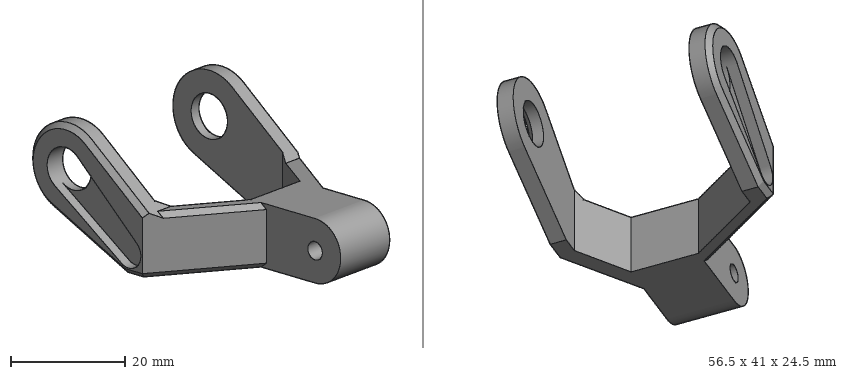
import cadquery as cq
import math

LENGTH = 56.5
WIDTH = 41.0
HEIGHT = 24.5

EYE_RADIUS = 8.55
EYE_X = EYE_RADIUS
EYE_Z = HEIGHT - EYE_RADIUS
EYE_HOLE_DIAMETER = 8.5
LUG_RADIUS = 6.0
LUG_X = LENGTH - LUG_RADIUS
LUG_Z = LUG_RADIUS
LUG_HOLE_DIAMETER = 3.4
LUG_TOP = 2 * LUG_RADIUS
UPPER_CORNER_X = 27.4
LOWER_CORNER_X = 22.3

NEAR_ARM_THICKNESS = 4.1
FAR_ARM_THICKNESS = 3.1
ARM_BEND_X = 26.55
INNER_BEND_X = 25.7
CROTCH_X = 35.5
LUG_NEAR_Y = 18.55
LUG_FAR_Y = 31.45
NEAR_ARM_ROOT_X = 39.1
FAR_ARM_ROOT_X = 40.85

CHAMFER = 1.0
COUNTERSINK_DIAMETER = 10.5
COUNTERSINK_DEPTH = (COUNTERSINK_DIAMETER - EYE_HOLE_DIAMETER) / 2
POCKET_DEPTH = NEAR_ARM_THICKNESS / 2
POCKET_END_X = 23.35
POCKET_END_Z = 4.2
POCKET_END_RADIUS = 2.9


def point_on_circle(center, radius, angle):
    return (center[0] + radius * math.cos(angle), center[1] + radius * math.sin(angle))


def tangent_point(corner, center, radius, side):
    """Touch point of the line from corner to a circle; side +1 or -1 picks which of the two."""
    dx = corner[0] - center[0]
    dz = corner[1] - center[1]
    angle = math.atan2(dz, dx) + side * math.acos(radius / math.hypot(dx, dz))
    return point_on_circle(center, radius, angle)


def side_plane(x=0, z=0):
    """XZ workplane on the near face; a negative extrusion runs toward +Y, into the part."""
    return cq.Workplane("XZ", origin=(x, 0, z))


def side_profile():
    eye = (EYE_X, EYE_Z)
    upper_corner = (UPPER_CORNER_X, LUG_TOP)
    lower_corner = (LOWER_CORNER_X, 0)
    return (
        side_plane()
        .moveTo(*lower_corner)
        .lineTo(LUG_X, 0)
        .threePointArc((LENGTH, LUG_Z), (LUG_X, LUG_TOP))
        .lineTo(*upper_corner)
        .lineTo(*tangent_point(upper_corner, eye, EYE_RADIUS, 1))
        .threePointArc((0, EYE_Z), tangent_point(lower_corner, eye, EYE_RADIUS, -1))
        .close()
        .extrude(-WIDTH)
    )


def near_arm_plate():
    return (
        cq.Workplane("XY")
        .polyline([
            (0, 0),
            (ARM_BEND_X, 0),
            (NEAR_ARM_ROOT_X, LUG_NEAR_Y),
            (CROTCH_X, LUG_NEAR_Y),
            (INNER_BEND_X, NEAR_ARM_THICKNESS),
            (0, NEAR_ARM_THICKNESS),
        ])
        .close()
        .extrude(HEIGHT)
    )


def far_arm_plate():
    return (
        cq.Workplane("XY")
        .polyline([
            (0, WIDTH),
            (ARM_BEND_X, WIDTH),
            (FAR_ARM_ROOT_X, LUG_FAR_Y),
            (CROTCH_X, LUG_FAR_Y),
            (INNER_BEND_X, WIDTH - FAR_ARM_THICKNESS),
            (0, WIDTH - FAR_ARM_THICKNESS),
        ])
        .close()
        .extrude(HEIGHT)
    )


def lug_block():
    return (
        cq.Workplane("XY")
        .moveTo(CROTCH_X, LUG_NEAR_Y)
        .lineTo(LENGTH, LUG_NEAR_Y)
        .lineTo(LENGTH, LUG_FAR_Y)
        .lineTo(CROTCH_X, LUG_FAR_Y)
        .close()
        .extrude(HEIGHT)
    )


def beveled_profile():
    """Side profile with its near rim beveled, which bounds the flat part of the near arm."""
    return side_profile().faces("<Y").edges().chamfer(CHAMFER)


def slope_edge_bevel(edge_z, inward):
    """Triangular cutter along an edge of the sloped outer face; inward is the Z direction into the arm."""
    run_x = NEAR_ARM_ROOT_X - ARM_BEND_X
    run_y = LUG_NEAR_Y
    plane = cq.Plane(
        origin=(ARM_BEND_X, 0, edge_z),
        xDir=(run_y, -run_x, 0),
        normal=(-run_x, -run_y, 0),
    )
    return (
        cq.Workplane(plane)
        .polyline([(-CHAMFER, 0), (0, 0), (0, inward * CHAMFER)])
        .close()
        .extrude(2 * CHAMFER + math.hypot(run_x, run_y), both=True)
    )


def below_rise():
    """Region under the arm's rising top edge, carried on below the lug's top level."""
    upper_corner = (UPPER_CORNER_X, LUG_TOP)
    touch = tangent_point(upper_corner, (EYE_X, EYE_Z), EYE_RADIUS, 1)
    rise_slope = (LUG_TOP - touch[1]) / (UPPER_CORNER_X - touch[0])
    base_x = UPPER_CORNER_X - LUG_TOP / rise_slope
    return side_plane().polyline([touch, (base_x, 0), (touch[0], 0)]).close().extrude(-WIDTH)


def near_arm():
    top_bevel = slope_edge_bevel(LUG_TOP, -1).cut(below_rise())
    bottom_bevel = slope_edge_bevel(0, 1)
    return near_arm_plate().intersect(beveled_profile()).cut(top_bevel).cut(bottom_bevel)


def eye_holes():
    return side_plane(EYE_X, EYE_Z).circle(EYE_HOLE_DIAMETER / 2).extrude(-WIDTH)


def eye_countersink():
    return cq.Workplane(cq.Solid.makeCone(
        EYE_HOLE_DIAMETER / 2,
        COUNTERSINK_DIAMETER / 2,
        COUNTERSINK_DEPTH,
        pnt=cq.Vector(EYE_X, WIDTH - COUNTERSINK_DEPTH, EYE_Z),
        dir=cq.Vector(0, 1, 0),
    ))


def lug_hole():
    return side_plane(LUG_X, LUG_Z).circle(LUG_HOLE_DIAMETER / 2).extrude(-WIDTH)


def teardrop_pocket():
    """Pocket opening out of the eye hole, along common tangents to a small end circle."""
    eye = (EYE_X, EYE_Z)
    end = (POCKET_END_X, POCKET_END_Z)
    dx = end[0] - eye[0]
    dz = end[1] - eye[1]
    axis = math.atan2(dz, dx)
    eye_radius = EYE_HOLE_DIAMETER / 2
    spread = math.acos((eye_radius - POCKET_END_RADIUS) / math.hypot(dx, dz))
    upper = axis + spread
    lower = axis - spread
    return (
        side_plane()
        .moveTo(*point_on_circle(eye, eye_radius, upper))
        .lineTo(*point_on_circle(end, POCKET_END_RADIUS, upper))
        .threePointArc(
            point_on_circle(end, POCKET_END_RADIUS, axis),
            point_on_circle(end, POCKET_END_RADIUS, lower),
        )
        .lineTo(*point_on_circle(eye, eye_radius, lower))
        .close()
        .extrude(-POCKET_DEPTH)
    )


def make_fork():
    profile = side_profile()
    body = near_arm()
    for plate in (far_arm_plate(), lug_block()):
        body = body.union(plate.intersect(profile))
    body = body.clean()
    for cutter in (teardrop_pocket(), eye_holes(), eye_countersink(), lug_hole()):
        body = body.cut(cutter)
    return body


fork = make_fork()
result = cq.Compound.makeCompound([fork.val()])